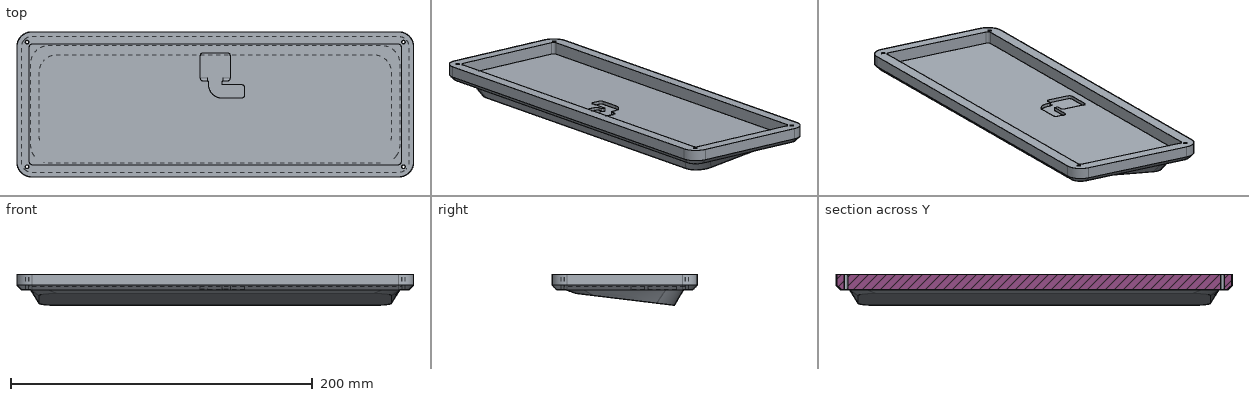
import cadquery as cq
import math

LENGTH = 263.0
WIDTH = 96.2
TOTAL_HEIGHT = 20.5
PLATE_HEIGHT = 10.3
CORNER_RADIUS = 10.0
BOTTOM_CHAMFER = 3.2

RIM_WIDTH = 8.1
CAVITY_DEPTH = 8.0
CAVITY_CORNER_RADIUS = 2.23

HOLE_DIAMETER = 2.2
HOLE_INSET = 6.8

FOOT_TOP_INSET = 9.2
FOOT_TOP_CORNER_RADIUS = 11.8
FOOT_SIDE_INSET = 14.7
FOOT_BACK_INSET = 15.2
FOOT_FRONT_INSET = 15.8
FOOT_FRONT_DROP = 2.4
FOOT_BOTTOM_CORNER_RADIUS = 11.8

RECESS_DEPTH = 2.0
BAY_LENGTH = 20.0
BAY_FRONT_Y = 15.5
BAY_BACK_Y = 34.2
BAY_CORNER_RADIUS = 2.0
CHANNEL_WIDTH = 9.0
CHANNEL_INNER_Y = 13.1
CHANNEL_END_X = 19.5
CHANNEL_END_RADIUS = 2.0
MOUTH_RADIUS = 0.81

RAMP_RUN = 1.8
RAMP_RISE = 0.3


def make_plate():
    plate = cq.Workplane("XY").box(LENGTH, WIDTH, PLATE_HEIGHT, centered=(True, True, False))
    return plate.edges("|Z").fillet(CORNER_RADIUS).faces("<Z").chamfer(BOTTOM_CHAMFER)


def make_foot():
    """Loft from the plate underside to a smaller rounded rectangle on a tilted plane."""
    back_y = WIDTH / 2 - FOOT_BACK_INSET
    front_y = -WIDTH / 2 + FOOT_FRONT_INSET
    back_drop = TOTAL_HEIGHT - PLATE_HEIGHT
    run = back_y - front_y
    rise = back_drop - FOOT_FRONT_DROP
    tilted = cq.Plane(
        origin=(0, (back_y + front_y) / 2, -(back_drop + FOOT_FRONT_DROP) / 2),
        xDir=(1, 0, 0),
        normal=(0, rise, run),
    )
    top_outline = cq.Sketch().rect(LENGTH - 2 * FOOT_TOP_INSET, WIDTH - 2 * FOOT_TOP_INSET)
    top_outline = top_outline.vertices().fillet(FOOT_TOP_CORNER_RADIUS)
    bottom_outline = cq.Sketch().rect(LENGTH - 2 * FOOT_SIDE_INSET, math.hypot(run, rise))
    bottom_outline = bottom_outline.vertices().fillet(FOOT_BOTTOM_CORNER_RADIUS)
    sections = (
        top_outline.moved(cq.Location(cq.Plane.XY())),
        bottom_outline.moved(cq.Location(tilted)),
    )
    return cq.Workplane("XY").placeSketch(*sections).loft(ruled=True)


def make_cavity():
    cavity = cq.Workplane("XY").workplane(offset=PLATE_HEIGHT - CAVITY_DEPTH)
    cavity = cavity.rect(LENGTH - 2 * RIM_WIDTH, WIDTH - 2 * RIM_WIDTH).extrude(CAVITY_DEPTH)
    return cavity.edges("|Z").fillet(CAVITY_CORNER_RADIUS)


def make_screw_holes():
    spacing_x = LENGTH - 2 * HOLE_INSET
    spacing_y = WIDTH - 2 * HOLE_INSET
    holes = cq.Workplane("XY").rect(spacing_x, spacing_y, forConstruction=True).vertices()
    return holes.circle(HOLE_DIAMETER / 2).extrude(PLATE_HEIGHT)


def make_recess():
    floor = cq.Workplane("XY").workplane(offset=PLATE_HEIGHT - CAVITY_DEPTH - RECESS_DEPTH)

    bay_width = BAY_BACK_Y - BAY_FRONT_Y
    bay = floor.center(0, (BAY_BACK_Y + BAY_FRONT_Y) / 2).rect(BAY_LENGTH, bay_width)
    bay = bay.extrude(RECESS_DEPTH).edges("|Z").fillet(BAY_CORNER_RADIUS)

    half = CHANNEL_WIDTH / 2
    bend_reach = CHANNEL_WIDTH * math.sqrt(0.5)
    overlap_y = (BAY_FRONT_Y + BAY_BACK_Y) / 2
    channel = (
        floor.moveTo(-half, overlap_y)
        .lineTo(-half, CHANNEL_INNER_Y)
        .threePointArc(
            (half - bend_reach, CHANNEL_INNER_Y - bend_reach),
            (half, CHANNEL_INNER_Y - CHANNEL_WIDTH),
        )
        .lineTo(CHANNEL_END_X, CHANNEL_INNER_Y - CHANNEL_WIDTH)
        .lineTo(CHANNEL_END_X, CHANNEL_INNER_Y)
        .lineTo(half, CHANNEL_INNER_Y)
        .lineTo(half, overlap_y)
        .close()
        .extrude(RECESS_DEPTH)
    )
    channel = channel.edges("|Z and >X").fillet(CHANNEL_END_RADIUS)

    mouth_z = PLATE_HEIGHT - CAVITY_DEPTH - RECESS_DEPTH / 2
    recess = bay.union(channel)
    for side in (-1, 1):
        corner = cq.selectors.NearestToPointSelector((side * half, BAY_FRONT_Y, mouth_z))
        recess = recess.edges("|Z").edges(corner).fillet(MOUTH_RADIUS)
    return recess.cut(make_ramps())


def make_ramps():
    """Wedges left standing on the bay floor, rising toward its front wall."""
    floor_z = PLATE_HEIGHT - CAVITY_DEPTH - RECESS_DEPTH
    channel_edge = CHANNEL_WIDTH / 2 + MOUTH_RADIUS
    ramp_length = BAY_LENGTH / 2 - channel_edge
    profile = [
        (BAY_FRONT_Y, floor_z),
        (BAY_FRONT_Y + RAMP_RUN, floor_z),
        (BAY_FRONT_Y, floor_z + RAMP_RISE),
    ]
    ramp = cq.Workplane("YZ").workplane(offset=channel_edge)
    ramp = ramp.polyline(profile).close().extrude(ramp_length)
    return ramp.union(ramp.mirror("YZ"))


result = (
    make_plate()
    .union(make_foot())
    .cut(make_cavity())
    .cut(make_screw_holes())
    .cut(make_recess())
)